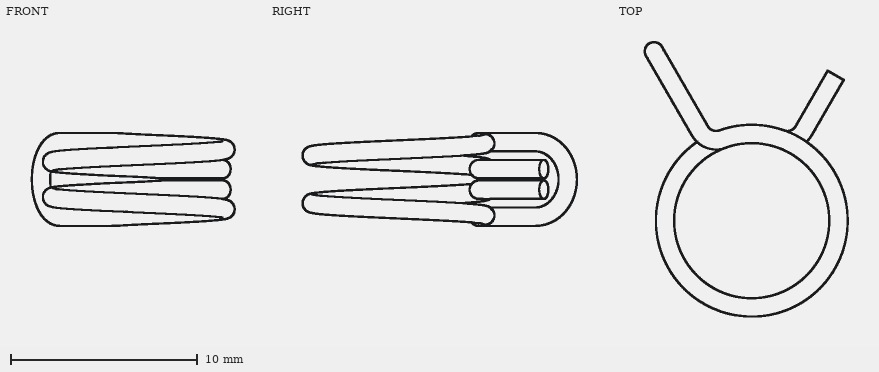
import cadquery as cq
import math


wire_diameter = 1.0
coil_radius = 4.65
bend_radius = 1.0

loop_radius = 2.0
loop_angle = 120.0
loop_reach = 10.48

tail_angle = 60.0
tail_reach = 9.0
tail_gap = 0.1
tail_height = (wire_diameter + tail_gap) / 2

bend_center_reach = coil_radius + bend_radius
bend_span = math.degrees(math.asin(bend_radius / bend_center_reach))
bend_leg_reach = math.sqrt(bend_center_reach**2 - bend_radius**2)
coil_start_angle = loop_angle - bend_span
coil_end_angle = tail_angle + bend_span - 360.0
coil_samples = 24


def polar(reach, angle, height):
    """Point at a distance from the Z axis, in a direction around it."""
    direction = math.radians(angle)
    return cq.Vector(reach * math.cos(direction), reach * math.sin(direction), height)


def bend_middle(leg_angle, coil_angle, height):
    """Middle point of the bend between a radial leg and the coil."""
    center = polar(bend_center_reach, coil_angle, height)
    to_leg = polar(bend_leg_reach, leg_angle, height) - center
    to_coil = polar(coil_radius, coil_angle, height) - center
    return center + (to_leg + to_coil).normalized() * bend_radius


def loop_edge():
    """Quarter circle from the loop tip on the symmetry plane to the leg."""
    loop_center_reach = loop_reach - loop_radius
    diagonal = loop_radius * math.sqrt(0.5)
    return cq.Edge.makeThreePointArc(
        polar(loop_reach, loop_angle, 0),
        polar(loop_center_reach + diagonal, loop_angle, diagonal),
        polar(loop_center_reach, loop_angle, loop_radius),
    )


def coil_edge():
    """Descending clockwise coil that leaves both bends horizontally."""
    turn = coil_end_angle - coil_start_angle
    fractions = [sample / coil_samples for sample in range(coil_samples + 1)]
    points = []
    for fraction in fractions:
        angle = coil_start_angle + fraction * turn
        height = loop_radius + fraction * (tail_height - loop_radius)
        points.append(polar(coil_radius, angle, height))
    coil_arc_length = coil_radius * math.radians(abs(turn))
    start_tangent = polar(coil_arc_length, coil_start_angle - 90, 0)
    end_tangent = polar(coil_arc_length, coil_end_angle - 90, 0)
    return cq.Edge.makeSpline(
        points,
        tangents=[start_tangent, end_tangent],
        parameters=fractions,
        scale=False,
    )


def half_wire_path():
    """Wire centreline from the loop tip to the cut end of the tail."""
    leg_start = polar(loop_reach - loop_radius, loop_angle, loop_radius)
    leg_end = polar(bend_leg_reach, loop_angle, loop_radius)
    coil_start = polar(coil_radius, coil_start_angle, loop_radius)
    coil_end = polar(coil_radius, coil_end_angle, tail_height)
    tail_start = polar(bend_leg_reach, tail_angle, tail_height)
    tail_end = polar(tail_reach, tail_angle, tail_height)
    loop_bend = bend_middle(loop_angle, coil_start_angle, loop_radius)
    tail_bend = bend_middle(tail_angle, coil_end_angle, tail_height)
    edges = [
        loop_edge(),
        cq.Edge.makeLine(leg_start, leg_end),
        cq.Edge.makeThreePointArc(leg_end, loop_bend, coil_start),
        coil_edge(),
        cq.Edge.makeThreePointArc(coil_end, tail_bend, tail_start),
        cq.Edge.makeLine(tail_start, tail_end),
    ]
    return cq.Wire.assembleEdges(edges)


def half_clamp():
    """Round wire swept along the centreline of the upper half."""
    loop_tip = polar(loop_reach, loop_angle, 0)
    section = cq.Workplane("XY", origin=loop_tip.toTuple()).circle(wire_diameter / 2)
    return section.sweep(cq.Workplane(half_wire_path()), isFrenet=False)


upper_half = half_clamp()
result = upper_half.union(upper_half.mirror("XY"))